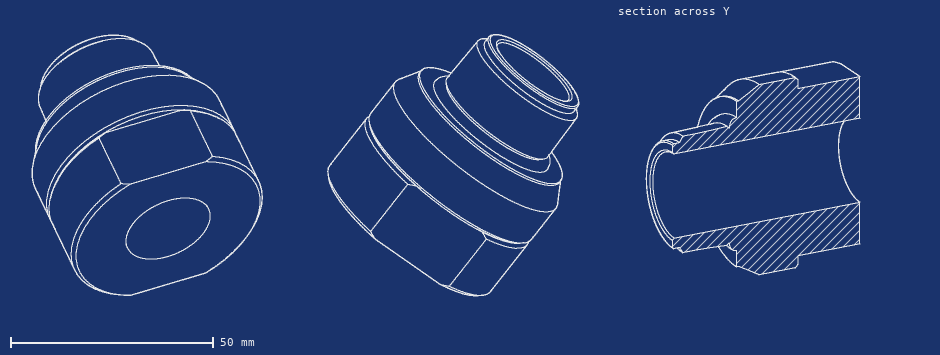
import cadquery as cq

total_length = 52.6
tip_chamfer = 0.35
tip_end = 2.0
taper_start = 2.95
taper_end = 15.3
bead_start = 16.05
flange_face = 18.0
cone_start = 18.55
collar_start = 24.35
collar_chamfer = 0.75
collar_end = 35.3
nut_chamfer = 0.95

bore_diameter = 22.25
tip_diameter = 27.9
taper_small_diameter = 30.95
taper_large_diameter = 31.65
neck_diameter = 30.4
bead_diameter = 35.35
flange_diameter = 43.95
collar_diameter = 50.55
nut_diameter = collar_diameter

bore_chamfer = 0.5
bead_radius = flange_face - bead_start
across_flats = 44.4


def make_body():
    """Revolve the outer profile about the X axis."""
    bead_outer = bead_diameter / 2
    bead_center_x = flange_face
    bead_center_r = bead_outer - bead_radius
    diagonal = bead_radius * 0.5**0.5
    collar_radius = collar_diameter / 2
    nut_radius = nut_diameter / 2
    profile = (
        cq.Workplane("XY")
        .moveTo(0, 0)
        .lineTo(0, tip_diameter / 2 - tip_chamfer)
        .lineTo(tip_chamfer, tip_diameter / 2)
        .lineTo(tip_end, tip_diameter / 2)
        .lineTo(taper_start, taper_small_diameter / 2)
        .lineTo(taper_end, taper_large_diameter / 2)
        .lineTo(bead_start, neck_diameter / 2)
        .lineTo(bead_start, bead_center_r)
        .threePointArc(
            (bead_center_x - diagonal, bead_center_r + diagonal),
            (bead_center_x, bead_outer),
        )
        .lineTo(flange_face, flange_diameter / 2)
        .lineTo(cone_start, flange_diameter / 2)
        .lineTo(collar_start, collar_radius)
        .lineTo(collar_end - collar_chamfer, collar_radius)
        .lineTo(collar_end, collar_radius - collar_chamfer)
        .lineTo(collar_end, nut_radius - nut_chamfer)
        .lineTo(collar_end + nut_chamfer, nut_radius)
        .lineTo(total_length - nut_chamfer, nut_radius)
        .lineTo(total_length, nut_radius - nut_chamfer)
        .lineTo(total_length, 0)
        .close()
    )
    return profile.revolve(360, (0, 0, 0), (1, 0, 0))


def cut_flats(body):
    """Cut the two opposite wrench flats, above and below the axis, along the nut."""
    flat_offset = across_flats / 2
    cut_depth = collar_diameter / 2 - flat_offset
    for side in (1, -1):
        cutter = cq.Workplane("XY").box(
            total_length - collar_end, collar_diameter, cut_depth
        )
        center_x = (collar_end + total_length) / 2
        center_z = side * (flat_offset + cut_depth / 2)
        body = body.cut(cutter.translate((center_x, 0, center_z)))
    return body


def cut_bore(body):
    """Cut the through bore and the chamfer at its spigot mouth."""
    bore_radius = bore_diameter / 2
    bore = (
        cq.Workplane("XY")
        .moveTo(0, 0)
        .lineTo(0, bore_radius + bore_chamfer)
        .lineTo(bore_chamfer, bore_radius)
        .lineTo(total_length, bore_radius)
        .lineTo(total_length, 0)
        .close()
        .revolve(360, (0, 0, 0), (1, 0, 0))
    )
    return body.cut(bore)


result = cut_bore(cut_flats(make_body()))